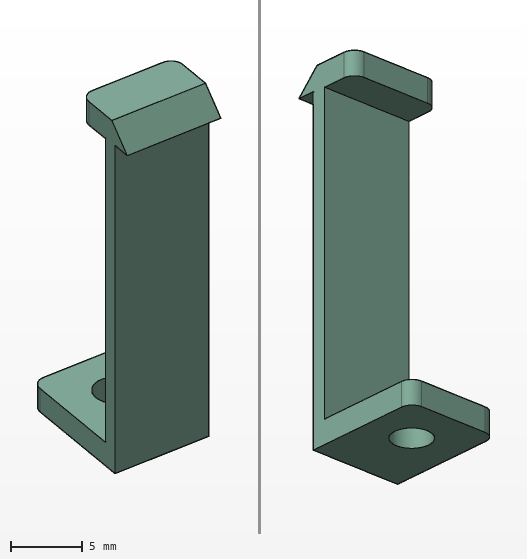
import cadquery as cq

height = 30.0
width = 8.0
plate_thickness = 2.0
corner_radius = 1.0

wall_outer = 10.2
wall_thickness = 1.2
wall_inner = wall_outer - wall_thickness
head_start = 6.0
slope_start = 9.8
hook_tip = 11.7
hook_drop = 1.92

hole_diameter = 3.2
hole_x = 4.15
hole_y = 0.18

head_bottom = height - plate_thickness
hook_bottom = height - hook_drop


def extrude_profile(points):
    """Extrude an XZ outline across the width, centred on Y = 0."""
    return cq.Workplane("XZ").polyline(points).close().extrude(width / 2, both=True)


def round_free_end(plate):
    """Round the two upright corners at the -X end of a plate."""
    return plate.faces("<X").edges("|Z").fillet(corner_radius)


foot = round_free_end(
    extrude_profile([
        (0, 0),
        (wall_outer, 0),
        (wall_outer, plate_thickness),
        (0, plate_thickness),
    ])
)
hole = (
    cq.Workplane("XY")
    .center(hole_x, hole_y)
    .circle(hole_diameter / 2)
    .extrude(plate_thickness)
)
foot = foot.cut(hole)

wall = extrude_profile([
    (wall_inner, 0),
    (wall_outer, 0),
    (wall_outer, head_bottom),
    (wall_inner, head_bottom),
])

head = round_free_end(
    extrude_profile([
        (head_start, head_bottom),
        (wall_outer, head_bottom),
        (wall_outer, hook_bottom),
        (hook_tip, hook_bottom),
        (slope_start, height),
        (head_start, height),
    ])
)

result = foot.union(wall).union(head)